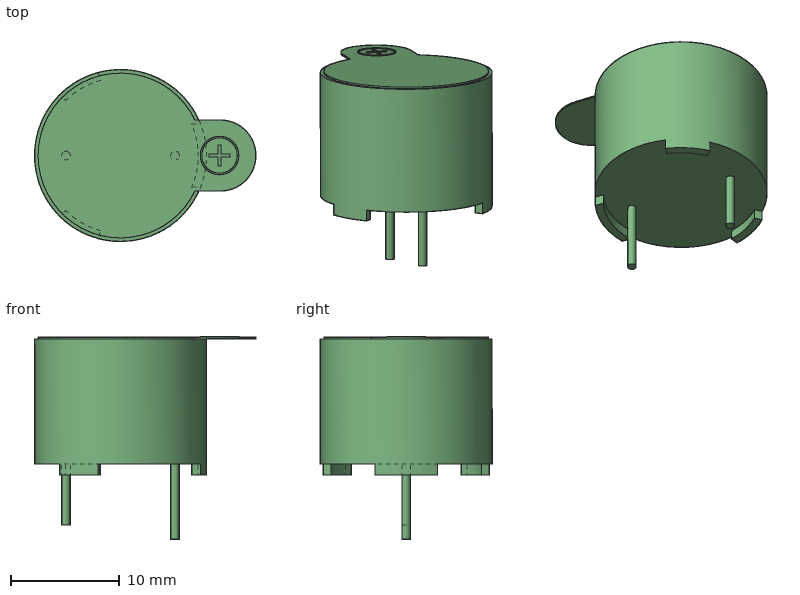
import cadquery as cq
import math

housing_radius = 7.902
housing_height = 11.51

foot_height = 1.0
foot_inner_radius = 7.14
wide_foot_width = 5.78
sector_foot_angle = 30.0
sector_foot_directions = (120.0, 240.0)
rim_overcut = 0.4
cutter_radius = housing_radius + rim_overcut

pin_diameter = 0.8
pin_offset = 5.0
short_pin_length = 5.6
long_pin_length = 6.92

overall_length = 20.35
label_radius = 7.57
label_thickness = 0.15
tab_width = 6.55
tab_end_center = overall_length - housing_radius - tab_width / 2

mark_center = 9.1
mark_height = 0.06
ring_outer_radius = 1.77
ring_inner_radius = 1.63
plus_length = 1.95
plus_arm_width = 0.26


def polar_point(radius, angle):
    """Point at the given radius and angle in degrees around the Z axis."""
    angle = math.radians(angle)
    return radius * math.cos(angle), radius * math.sin(angle)


def make_sector_foot(direction, sector_angle):
    """Ring sector below Z = 0, centred on the given direction, reaching past the housing rim."""
    start = direction - sector_angle / 2
    end = direction + sector_angle / 2
    return (
        cq.Workplane("XY")
        .moveTo(*polar_point(foot_inner_radius, start))
        .lineTo(*polar_point(cutter_radius, start))
        .threePointArc(polar_point(cutter_radius, direction), polar_point(cutter_radius, end))
        .lineTo(*polar_point(foot_inner_radius, end))
        .threePointArc(polar_point(foot_inner_radius, direction), polar_point(foot_inner_radius, start))
        .close()
        .extrude(-foot_height)
    )


def make_parallel_foot():
    """Foot at +X with sides parallel to X and a round inner face, reaching past the housing rim."""
    block = (
        cq.Workplane("XY")
        .center(cutter_radius / 2, 0)
        .rect(cutter_radius, wide_foot_width)
        .extrude(-foot_height)
    )
    return block.cut(cq.Workplane("XY").circle(foot_inner_radius).extrude(-foot_height))


def make_foot_clearance():
    """Space under the housing that is cleared away to leave only the feet."""
    clearance = cq.Workplane("XY").circle(cutter_radius).extrude(-foot_height)
    clearance = clearance.cut(make_parallel_foot())
    for direction in sector_foot_directions:
        clearance = clearance.cut(make_sector_foot(direction, sector_foot_angle))
    return clearance


def make_pin(x, length):
    """Round lead hanging down from the underside of the housing."""
    return cq.Workplane("XY").center(x, 0).circle(pin_diameter / 2).extrude(-length)


def make_housing():
    """Housing cylinder with its feet and its two leads."""
    housing = (
        cq.Workplane("XY")
        .workplane(offset=-foot_height)
        .circle(housing_radius)
        .extrude(foot_height + housing_height)
        .rotate((0, 0, 0), (0, 0, 1), -90)
        .cut(make_foot_clearance())
    )
    housing = housing.union(make_pin(-pin_offset, short_pin_length))
    return housing.union(make_pin(pin_offset, long_pin_length))


def make_polarity_mark():
    """Ring and plus sign standing on the label tab."""
    tab_face = cq.Workplane("XY", origin=(mark_center, 0, housing_height + label_thickness))
    ring = tab_face.circle(ring_outer_radius).circle(ring_inner_radius).extrude(mark_height)
    arm_along_x = tab_face.rect(plus_length, plus_arm_width).extrude(mark_height)
    arm_along_y = tab_face.rect(plus_arm_width, plus_length).extrude(mark_height)
    return ring.union(arm_along_x.union(arm_along_y))


def make_label():
    """Label disc with its pull tab and polarity mark, lying on the housing."""
    top_face = cq.Workplane("XY").workplane(offset=housing_height)
    disc = top_face.circle(label_radius).extrude(label_thickness)
    tab_strip = (
        top_face.center(tab_end_center / 2, 0)
        .rect(tab_end_center, tab_width)
        .extrude(label_thickness)
    )
    tab_end = top_face.center(tab_end_center, 0).circle(tab_width / 2).extrude(label_thickness)
    return disc.union(tab_strip).union(tab_end).union(make_polarity_mark())


housing = make_housing()
label = make_label()

result = cq.Compound.makeCompound([*housing.solids().vals(), *label.solids().vals()])